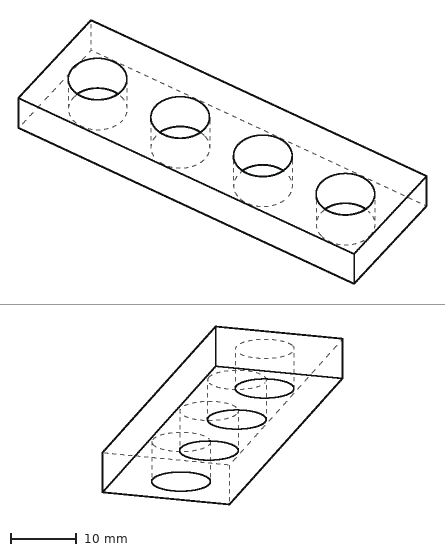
import cadquery as cq

length = 60.95
width = 20.05
thickness = 6.4

hole_count = 4
hole_diameter = 8.9
hole_pitch = 15.0
first_hole_from_left = 7.8

plate = cq.Workplane("XY").box(length, width, thickness)

first_hole_x = -length / 2 + first_hole_from_left
hole_centres = [(first_hole_x + i * hole_pitch, 0) for i in range(hole_count)]

result = plate.faces(">Z").workplane().pushPoints(hole_centres).hole(hole_diameter)